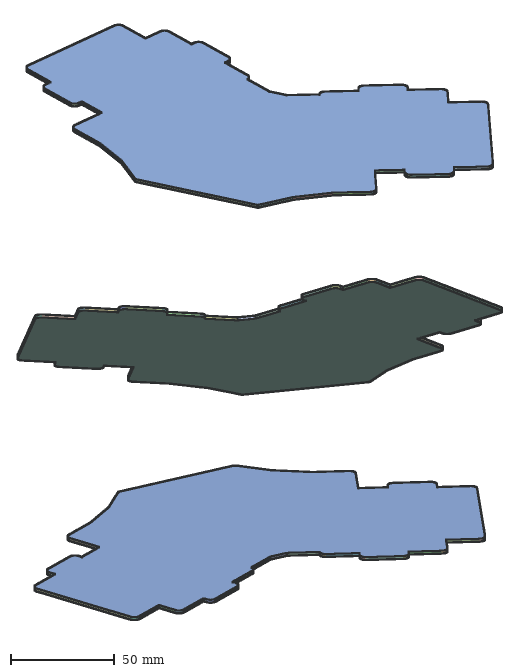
import cadquery as cq
import math

thickness = 1.6
wing_angle = 25.0
key_pitch = 19.05
key_margin = 2.4
corner_radius = 3.0

first_column_u = -143.87
column_width = key_pitch + 2 * key_margin

columns = [
    (80.45, 3),
    (93.18, 4),
    (98.1, 4),
    (93.18, 4),
]
inner_column_top = 90.5
thumb_column = 3
thumb_bottom = -3.2

front_edge_half = 32.0
back_flat_half = 4.5
front_corner_u = -66.0
front_bend = (-44.9, 13.6)


def wing_to_plate(u, v):
    """Turn a wing-frame point of the -X wing into plate X, Y."""
    angle = math.radians(wing_angle)
    x = u * math.cos(angle) + v * math.sin(angle)
    y = v * math.cos(angle) - u * math.sin(angle)
    return x, y


def column_left(index):
    return first_column_u + index * key_pitch


def rounded_block(left, right, bottom, top):
    """Rectangular block in the wing frame with rounded corners."""
    return (
        cq.Workplane("XY")
        .center((left + right) / 2, (bottom + top) / 2)
        .rect(right - left, top - bottom)
        .extrude(thickness)
        .edges("|Z")
        .fillet(corner_radius)
    )


def make_wing():
    """Key columns and thumb block of the -X wing, turned into place."""
    blocks = []
    for index, (top, rows) in enumerate(columns):
        left = column_left(index)
        bottom = top - rows * key_pitch - 2 * key_margin
        blocks.append(rounded_block(left, left + column_width, bottom, top))

    thumb_left = column_left(thumb_column)
    thumb_top = columns[thumb_column][0]
    blocks.append(rounded_block(thumb_left, thumb_left + column_width, thumb_bottom, thumb_top))

    wing = blocks[0]
    for block in blocks[1:]:
        wing = wing.union(block)
    return wing.rotate((0, 0, 0), (0, 0, 1), -wing_angle)


def make_web():
    """-X half of the middle web, with bent front sides and a notch at the back."""
    outer_back = wing_to_plate(front_corner_u, inner_column_top)
    outer_front = wing_to_plate(front_corner_u, thumb_bottom)

    angle = math.radians(wing_angle)
    back_flat_y = inner_column_top / math.cos(angle) + back_flat_half * math.tan(angle)

    outline = [
        (0, 0),
        (0, back_flat_y),
        (-back_flat_half, back_flat_y),
        outer_back,
        outer_front,
        front_bend,
        (-front_edge_half, 0),
    ]
    return cq.Workplane("XY").polyline(outline).close().extrude(thickness)


half_plate = make_wing().union(make_web())
result = half_plate.union(half_plate.mirror("YZ"))